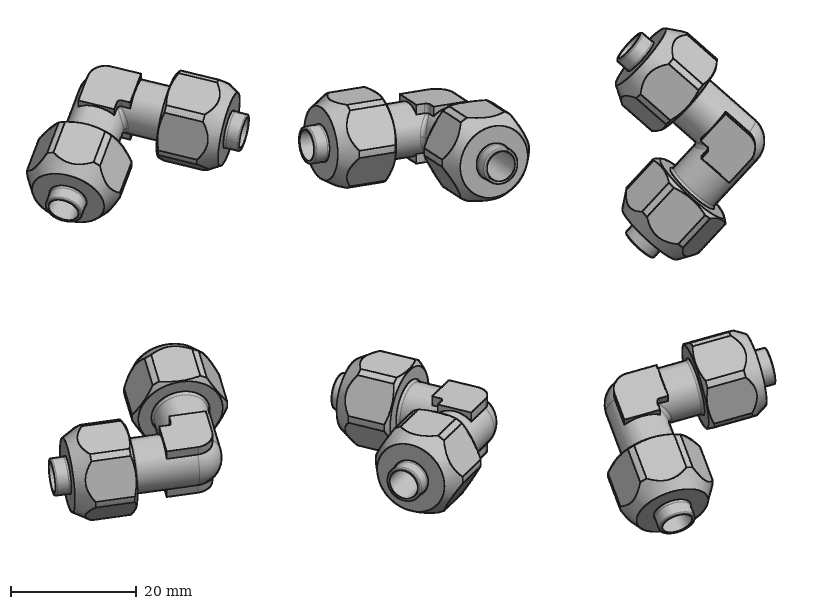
import cadquery as cq
import math

overall_size = 30.75

body_radius = 4.45
flare_start = 10.02
flare_height = 0.28
inner_fillet = 0.65

plate_height = 9.9
plate_inset = 2.98
plate_reach = 5.0

nut_across_flats = 14.0
nut_corner_radius = 7.75
nut_back = 10.52
nut_front = 20.5
back_face_radius = 6.85
back_chamfer_length = 0.6
front_face_radius = 6.0
front_chamfer_length = 2.98

arm_length = overall_size - nut_corner_radius
tube_radius = 3.0
collar_radius = 3.1
collar_length = 0.37
tube_fillet = 0.2
bore_radius = 2.5
bore_floor = 3.08
drill_point_angle = 118.0


def revolve_about_x(profile):
    """Turn a closed half profile about the X axis."""
    return profile.close().revolve(360, (0, 0, 0), (1, 0, 0))


def both_arms(arm):
    """Join an arm feature along +X with its copy along -Y."""
    return arm.union(arm.rotate((0, 0, 0), (0, 0, 1), -90))


def make_elbow():
    """Two round arms rounded off by a ball, with wrench plates and a filleted inner corner."""
    arm = cq.Workplane("YZ").circle(body_radius).extrude(nut_back)
    ball = cq.Workplane("XY").sphere(body_radius)
    plate = (
        cq.Workplane("XY")
        .workplane(offset=-plate_height / 2)
        .moveTo(0, plate_inset)
        .lineTo(plate_reach, plate_inset)
        .lineTo(plate_reach, -plate_inset)
        .lineTo(plate_inset, -plate_inset)
        .lineTo(plate_inset, -plate_reach)
        .lineTo(-plate_inset, -plate_reach)
        .lineTo(-plate_inset, 0)
        .radiusArc((0, plate_inset), plate_inset)
        .close()
        .extrude(plate_height)
    )
    elbow = both_arms(arm).union(ball).union(plate)
    margin = 0.03
    corner_box = cq.selectors.BoxSelector(
        (plate_inset - margin, -plate_inset + margin, -plate_height),
        (body_radius + margin, -body_radius - margin, plate_height),
        boundingbox=True,
    )
    return elbow.edges(corner_box).fillet(inner_fillet)


def make_flare():
    """Concave flare where the body meets the back of the nut."""
    flare_length = nut_back - flare_start
    flare_radius = (flare_length**2 + flare_height**2) / (2 * flare_height)
    profile = (
        cq.Workplane("XY")
        .moveTo(flare_start, 0)
        .lineTo(flare_start, body_radius)
        .radiusArc((nut_back, body_radius + flare_height), -flare_radius)
        .lineTo(nut_back, 0)
    )
    return revolve_about_x(profile)


def make_nut():
    """Hexagon nut with its corners turned down and both ends chamfered."""
    corner_diameter = nut_across_flats / math.cos(math.pi / 6)
    hexagon = (
        cq.Workplane("YZ")
        .workplane(offset=nut_back)
        .polygon(6, corner_diameter)
        .extrude(nut_front - nut_back)
    )
    envelope = (
        cq.Workplane("XY")
        .moveTo(nut_back, 0)
        .lineTo(nut_back, back_face_radius)
        .lineTo(nut_back + back_chamfer_length, nut_corner_radius)
        .lineTo(nut_front - front_chamfer_length, nut_corner_radius)
        .lineTo(nut_front, front_face_radius)
        .lineTo(nut_front, 0)
    )
    return hexagon.intersect(revolve_about_x(envelope))


def make_tube():
    """Tube stub with a tapered collar at the nut and a rounded end."""
    profile = (
        cq.Workplane("XY")
        .moveTo(nut_back, 0)
        .lineTo(nut_back, collar_radius)
        .lineTo(nut_front, collar_radius)
        .lineTo(nut_front + collar_length, tube_radius)
        .lineTo(arm_length - tube_fillet, tube_radius)
        .radiusArc((arm_length, tube_radius - tube_fillet), tube_fillet)
        .lineTo(arm_length, 0)
    )
    return revolve_about_x(profile)


def make_bore():
    """Blind drilled bore with a conical floor."""
    point_depth = bore_radius / math.tan(math.radians(drill_point_angle / 2))
    profile = (
        cq.Workplane("XY")
        .moveTo(bore_floor - point_depth, 0)
        .lineTo(bore_floor, bore_radius)
        .lineTo(arm_length, bore_radius)
        .lineTo(arm_length, 0)
    )
    return revolve_about_x(profile)


fittings = make_flare().union(make_nut()).union(make_tube())
result = make_elbow().union(both_arms(fittings)).cut(both_arms(make_bore()))